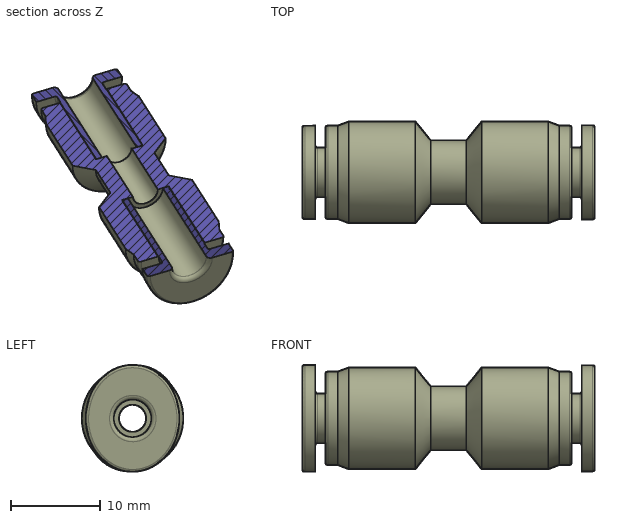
import cadquery as cq

total_length = 32.8
half_length = total_length / 2

flange_height = 12.0
flange_width = 10.5
flange_thickness = 1.5
flange_edge_radius = 0.3
sleeve_diameter = 5.6
sleeve_bore_diameter = 4.2
sleeve_mouth_radius = 0.5
sleeve_root_radius = 0.2
right_sleeve_roll = 13.0

flange_gap = 1.1
body_diameter = 11.4
collar_diameter = 10.5
collar_edge_radius = 0.3
neck_diameter = 7.2
passage_diameter = 3.0

body_half_length = half_length - flange_thickness - flange_gap
collar_inner_x = 12.4
barrel_outer_x = 11.2
barrel_inner_x = 3.7
neck_half_length = 2.0
socket_floor_x = barrel_inner_x

sleeve_length = half_length - socket_floor_x


def make_union_body():
    """Waisted tube union with a sleeve socket in each end and a passage through the middle."""
    right_profile = [
        (neck_half_length, neck_diameter / 2),
        (barrel_inner_x, body_diameter / 2),
        (barrel_outer_x, body_diameter / 2),
        (collar_inner_x, collar_diameter / 2),
        (body_half_length, collar_diameter / 2),
        (body_half_length, sleeve_diameter / 2),
        (socket_floor_x, sleeve_diameter / 2),
        (socket_floor_x, passage_diameter / 2),
    ]
    left_profile = [(-x, radius) for x, radius in reversed(right_profile)]
    body = (
        cq.Workplane("XY")
        .polyline(right_profile + left_profile)
        .close()
        .revolve(360, (0, 0, 0), (1, 0, 0))
    )
    outer_rims = cq.selectors.RadiusNthSelector(-1)
    return body.faces("<X or >X").edges(outer_rims).fillet(collar_edge_radius)


def make_left_sleeve():
    """Release sleeve of the -X end: an oval push flange on a round tube, bored through."""
    end_plane = cq.Workplane("YZ", origin=(-half_length, 0, 0))
    flange = (
        end_plane.ellipse(flange_width / 2, flange_height / 2)
        .extrude(flange_thickness)
        .faces("<X")
        .edges()
        .fillet(flange_edge_radius)
    )
    tube = end_plane.circle(sleeve_diameter / 2).extrude(sleeve_length)
    bore = end_plane.circle(sleeve_bore_diameter / 2).extrude(sleeve_length)

    root_edge = cq.selectors.NearestToPointSelector((flange_thickness - half_length, 0, 0))
    sleeve = flange.union(tube).edges(root_edge).fillet(sleeve_root_radius).cut(bore)

    mouth_edge = cq.selectors.RadiusNthSelector(0)
    return sleeve.faces("<X").edges(mouth_edge).fillet(sleeve_mouth_radius)


union_body = make_union_body()
left_sleeve = make_left_sleeve()
right_sleeve = (
    make_left_sleeve()
    .rotate((0, 0, 0), (0, 0, 1), 180)
    .rotate((0, 0, 0), (1, 0, 0), right_sleeve_roll)
)

result = cq.Compound.makeCompound([union_body.val(), left_sleeve.val(), right_sleeve.val()])